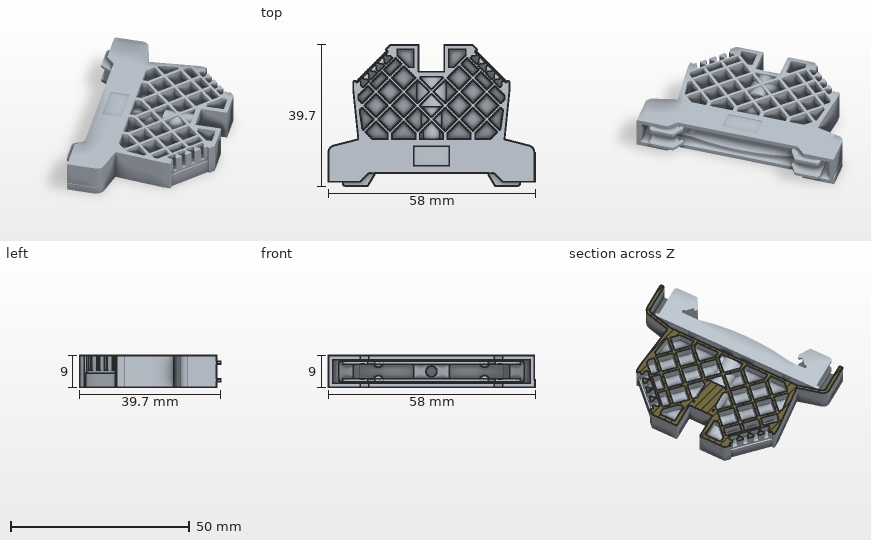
import cadquery as cq
import math

thickness = 9.0
mid_z = thickness / 2
overall_length = 58.0
pad_rise = 0.2
base_half = (overall_length - pad_rise) / 2
shoulder_y = 11.95
shoulder_half = 20.55
shoulder_end_y = 9.8
shoulder_radius = 2.05
top_y = 38.45
top_half = 11.5
corner_leg = 10.5
body_half = top_half + corner_leg
side_y = 25.9
foot_inner = 20.0
arch_y = 2.45
notch_half = 3.6
notch_floor_y = 30.9

wall = 1.15
lid = 1.2
cavity_half = base_half - wall
cavity_roof_y = 11.0
cavity_roof_half = 20.2
cavity_eave_y = 9.05

cell_pitch = 3.9
rib = 0.8
rows_below = 3
upright_ribs = 4
rib_steps = 4
lattice_y = 25.3
pocket_depth = 4.45
pocket_draft = 1.5
lattice_top_y = 29.5
lattice_side_top = 20.6
lattice_side_y = 23.2
lattice_waist = 19.9
lattice_hip = (20.2, 20.2)
lattice_corner_y = 14.85
lattice_corner_bottom = 16.55
lattice_inset = 3.65

boss_radius = 4.2
boss_step_y = 21.1
neck_radius = 2.85
saddle_top_z = 6.15
saddle_top_y = 14.75

window_inner = 4.95
window_outer = 9.55
window_bottom_y = 32.1
window_top_y = 37.2
window_chamfer = 3.35
window_depth = 4.2
label_width = 10.05
label_height = 5.45
label_y = 7.25
label_depth = 0.2
pad_z = 2.2
pad_y = 8.1

slot_count = 4
slot_pitch = 3.1
comb_length = slot_count * slot_pitch
comb_centre = 8.05
ledge_depth = 0.5
comb_depth = 0.85
ledge_z = 4.0
slot_z = 4.9
slot_depth = 3.0
slot_width = 2.5
slot_mouth = 1.2
slot_side = 0.8

sheet = 0.85
clip_z_low = 1.55
clip_width = thickness - 2 * clip_z_low
plate_half = 26.0
plate_top_y = 9.45
plate_bottom_y = plate_top_y - sheet
plate_corner = 0.6
plate_hole = 3.1
plate_window_inner = 5.0
plate_window_outer = 22.0
plate_window_corner = 0.65
flange_half = 24.95
flange_corner = 0.9
flange_mid_y = 3.6
flange_edge_y = 5.15
bow_end = (13.5, 4.95)
bow_run_out = 14.6
hook_root = 19.3
hook_valley = (17.15, 2.45)
hook_crown = 0.65
hook_tip = 15.95
hook_tip_low_y = 2.05
hook_tip_high_y = 2.6
hook_toe = 17.85
hook_relief = (19.2, 4.65)
hook_relief_radius = 0.5
toe_y = -1.2
dimple_x = 14.9
dimple_y = 7.25
dimple_base = 1.35
dimple_height = 0.85


def corner_edges(shape, y, half_width):
    """The upright edges of a shape that lie at height y and at x = +-half_width."""

    def is_corner(edge):
        centre = edge.Center()
        return math.isclose(centre.y, y) and math.isclose(abs(centre.x), half_width)

    return shape.edges("|Z").filter(is_corner)


def mirrored(points):
    """Closes a right-hand half outline with its reflection about x = 0."""
    return points + [(-x, y) for x, y in reversed(points)]


def prism(points, z_low, z_high):
    return cq.Workplane("XY", origin=(0, 0, z_low)).polyline(points).close().extrude(z_high - z_low)


def both_sides(shape):
    return shape.union(shape.mirror("YZ"))


def body_block():
    half = [
        (notch_half, notch_floor_y),
        (notch_half, top_y),
        (top_half, top_y),
        (body_half, top_y - corner_leg),
        (body_half, side_y),
        (shoulder_half, shoulder_y),
        (base_half, shoulder_end_y),
        (base_half, 0),
        (foot_inner, 0),
        (foot_inner - arch_y, arch_y),
    ]
    block = prism(mirrored(half), 0, thickness)
    return corner_edges(block, shoulder_end_y, base_half).fillet(shoulder_radius)


def clip_cavity():
    half = [
        (cavity_roof_half, cavity_roof_y),
        (cavity_half, cavity_eave_y),
        (cavity_half, toe_y),
    ]
    cavity = prism(mirrored(half), lid, thickness - lid)
    return corner_edges(cavity, cavity_eave_y, cavity_half).fillet(shoulder_radius - wall)


def lattice_area(z_low):
    """The face area that holds the rib pattern."""
    corner_sum = top_half + top_y - lattice_inset * math.sqrt(2)
    peak_x = (corner_sum - lattice_y) / 2
    ledge_x = lattice_top_y - lattice_y
    half = [
        (ledge_x, lattice_top_y),
        (peak_x, corner_sum - peak_x),
        (lattice_side_top, corner_sum - lattice_side_top),
        (lattice_side_top, lattice_side_y),
        (lattice_waist, lattice_y - cell_pitch),
        lattice_hip,
        (lattice_corner_bottom + lattice_corner_y - shoulder_y, lattice_corner_y),
        (lattice_corner_bottom, shoulder_y),
    ]
    return prism(mirrored(half), z_low, thickness)


def ribs(z_low):
    """Diagonal ribs down to the lowest row of crossings, and upright ribs below it."""
    height = thickness - z_low
    lowest_y = lattice_y - rows_below * cell_pitch
    span = 4 * body_half
    upright_x = [(2 * k + 1 - upright_ribs) * cell_pitch for k in range(upright_ribs)]
    diagonals = cq.Workplane("XY")
    for step in range(-rib_steps, rib_steps + 1):
        for angle in (45, -45):
            bar = (
                cq.Workplane("XY")
                .box(span, rib, height, centered=(True, True, False))
                .rotate((0, 0, 0), (0, 0, 1), angle)
                .translate((2 * step * cell_pitch, lattice_y, z_low))
            )
            diagonals = diagonals.union(bar)
    above = cq.Workplane("XY").box(span, span, height, centered=(True, False, False))
    diagonals = diagonals.intersect(above.translate((0, lowest_y, z_low)))
    uprights = (
        cq.Workplane("XY", origin=(0, shoulder_y, z_low))
        .pushPoints([(x, 0) for x in upright_x])
        .rect(rib * math.sqrt(2), lowest_y - shoulder_y, centered=(True, False))
        .extrude(height)
    )
    return diagonals.union(uprights)


def screw_boss():
    def bar(radius, y_low, y_high):
        return cq.Workplane("XZ", origin=(0, y_high, mid_z)).circle(radius).extrude(y_high - y_low)

    saddle_half = cell_pitch - rib / math.sqrt(2)
    saddle = cq.Workplane("XY").box(
        2 * saddle_half, saddle_top_y - shoulder_y, saddle_top_z, centered=(True, False, False)
    )
    boss = bar(boss_radius, boss_step_y, lattice_top_y).union(bar(neck_radius, shoulder_y, boss_step_y))
    return boss.union(saddle.translate((0, shoulder_y, 0)))


def lattice_pockets():
    floor_z = thickness - pocket_depth
    straight = lattice_area(floor_z).cut(ribs(floor_z))
    outlines = straight.faces(">Z").wires().toPending()
    drafted = outlines.extrude(-pocket_depth, combine=False, taper=pocket_draft)
    return drafted.cut(screw_boss())


def notch_window():
    outline = [
        (window_inner, window_top_y),
        (window_outer, window_top_y),
        (window_outer, window_bottom_y + window_chamfer),
        (window_outer - window_chamfer, window_bottom_y),
        (window_inner, window_bottom_y),
    ]
    return prism(outline, thickness - window_depth, thickness)


def label_recess():
    return (
        cq.Workplane("XY", origin=(0, label_y, thickness - label_depth))
        .rect(label_width, label_height)
        .extrude(label_depth)
    )


def marker_comb():
    """Cut on the right corner: a stepped recess, and slots that widen inwards."""

    def corner_plane(z):
        plane = cq.Plane(origin=(top_half, top_y, z), xDir=(1, -1, 0), normal=(0, 0, 1))
        return cq.Workplane(plane)

    def recess(depth, z_low, z_high):
        return corner_plane(z_low).center(comb_centre, 0).rect(comb_length, 2 * depth).extrude(z_high - z_low)

    comb = recess(ledge_depth, 0, ledge_z).union(recess(comb_depth, ledge_z, thickness))
    taper = (slot_width - slot_mouth) / 2
    half_slot = [
        (slot_mouth / 2, 0),
        (slot_mouth / 2, slot_side + taper - slot_depth),
        (slot_width / 2, slot_side - slot_depth),
        (slot_width / 2, -slot_depth),
    ]
    for index in range(slot_count):
        centre = comb_centre + (index - (slot_count - 1) / 2) * slot_pitch
        slot = (
            corner_plane(slot_z)
            .center(centre, 0)
            .polyline(mirrored(half_slot))
            .close()
            .extrude(thickness - slot_z)
        )
        comb = comb.union(slot)
    return comb


def end_pad():
    return cq.Workplane("XY").box(pad_rise, pad_y, pad_z, centered=False).translate((base_half, 0, 0))


def make_housing():
    return (
        body_block()
        .cut(clip_cavity())
        .cut(lattice_pockets())
        .cut(both_sides(notch_window()))
        .cut(both_sides(marker_comb()))
        .cut(label_recess())
        .union(end_pad())
    )


def clip_plate():
    def slab(width, depth):
        return cq.Workplane("XZ", origin=(0, plate_top_y, mid_z)).rect(width, depth).extrude(sheet)

    window_length = plate_window_outer - plate_window_inner
    window = (
        slab(window_length, clip_width - 2 * sheet)
        .edges("|Y")
        .fillet(plate_window_corner)
        .translate(((plate_window_inner + plate_window_outer) / 2, 0, 0))
    )
    plate = slab(2 * plate_half, clip_width).edges("|Y").fillet(plate_corner)
    hole = cq.Workplane("XZ", origin=(0, plate_top_y, mid_z)).circle(plate_hole / 2).extrude(sheet)
    return plate.cut(both_sides(window)).cut(hole)


def clip_flange():
    """Lower flange: a bowed edge between two hooked feet, and two dimples on its inner face."""
    right = [
        (bow_run_out, flange_edge_y),
        (hook_root, flange_edge_y),
        (hook_root, hook_valley[1] + hook_root - hook_valley[0]),
        hook_valley,
        (hook_valley[0] - hook_crown, hook_valley[1] + hook_crown),
        (hook_tip, hook_tip_high_y),
        (hook_tip, hook_tip_low_y),
        (hook_toe, toe_y),
        (flange_half, toe_y),
        (flange_half, plate_bottom_y),
    ]
    left = [(-x, y) for x, y in reversed(right)]
    flange = (
        cq.Workplane("XY", origin=(0, 0, clip_z_low))
        .moveTo(-bow_end[0], bow_end[1])
        .threePointArc((0, flange_mid_y), bow_end)
        .polyline(right + left, includeCurrent=True)
        .close()
        .extrude(sheet)
    )
    flange = corner_edges(flange, toe_y, flange_half).fillet(flange_corner)
    relief = cq.Workplane("XY", origin=(*hook_relief, clip_z_low)).circle(hook_relief_radius).extrude(sheet)
    flange = flange.cut(both_sides(relief))

    inner_z = clip_z_low + sheet
    ball_radius = (dimple_base**2 + dimple_height**2) / (2 * dimple_height)
    ball = cq.Workplane("XY").sphere(ball_radius)
    ball = ball.translate((dimple_x, dimple_y, inner_z + dimple_height - ball_radius))
    above = cq.Workplane("XY", origin=(dimple_x, dimple_y, inner_z)).circle(ball_radius).extrude(ball_radius)
    return flange.union(both_sides(ball.intersect(above)))


def make_clip():
    lower = clip_flange()
    upper = lower.mirror("XY", (0, 0, mid_z))
    return clip_plate().union(lower).union(upper)


housing = make_housing()
clip = make_clip()
result = cq.Compound.makeCompound([housing.solids().val(), clip.solids().val()])